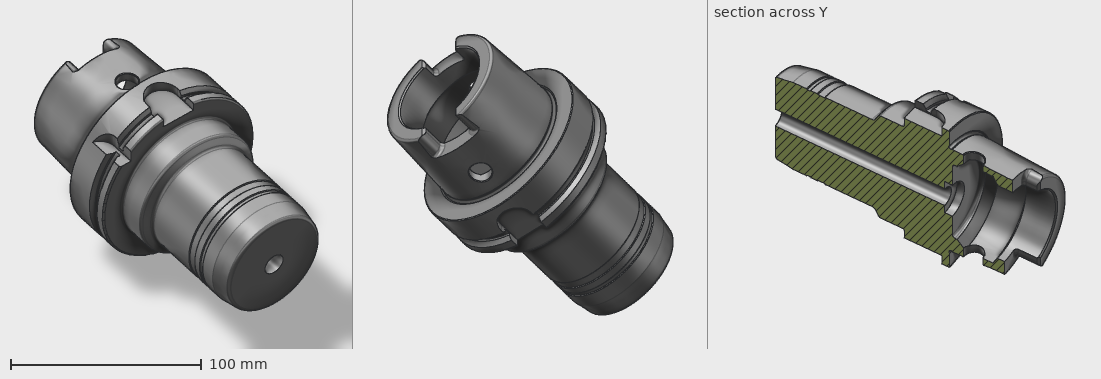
import cadquery as cq
import math

total_length = 160.0
flange_radius = 100.0 / 2

mouth_fillet = 1.5
taper_end_x = 47.8
taper_end_radius = 75.4 / 2
taper_slope = 1 / 20
neck_radius = 37.3
neck_start_x = 48.6
neck_fillet = 1.3

flange_start_x = 49.8
flange_end_x = 78.5
flange_chamfer = 0.5
relief_depth = 0.5
relief_outer_radius = 39.4
grip_radius = 46.0
grip_mouth_start_x = 66.7
grip_floor_start_x = 68.2
grip_floor_end_x = 71.5
grip_mouth_end_x = 73.3
grip_step_radius = 47.4
rim_fillet = 1.0

collar_radius = 75.0 / 2
collar_root_fillet = 1.3
collar_end_x = 94.4
barrel_radius = 32.0
shoulder_angle = 60
shoulder_fillet = 2.0
nose_start_x = 148.6
nose_angle = 10
nose_fillet = 1.8

ring_groove_depth = 0.5
ring_groove_spans = [(128.3, 133.5), (137.5, 140.2)]

bore_radius = 53.0 / 2
bore_mouth_chamfer = 0.8
clamp_start_x = 19.5
clamp_end_x = 40.0
clamp_radius = 63.0 / 2
clamp_angle = 60
clamp_exit_angle = 45
bore_depth = 48.0
bore_floor_fillet = 1.6
counterbore_diameter = 22.4
counterbore_depth = 4.8
through_diameter = 12.0

radial_hole_x = 34.9
radial_hole_diameter = 12.0
radial_hole_chamfer = 0.5

slot_half_width = 10.0
slot_flare_radius = 4.8
slot_flare_z = 32.2
slot_floor_fillet = 2.0
slot_edge_chamfer = 1.5
top_slot_depth = 10.0
bottom_slot_depth = 15.0

notch_start_x = 54.9
notch_width = 19.8
notch_floor_z = 43.8
corner_notch_offset = 31.5

clearance = 8.0

pick_margin = 0.02


def revolve_about_x(profile):
    """Spin a closed profile, drawn with radius as local Y, about the X axis."""
    return profile.close().revolve(360, (0, 0, 0), (1, 0, 0))


def round_ring(solid, x, radius, fillet):
    """Fillet the outermost circular edge of a turned solid at the given X."""
    reach = radius + pick_margin
    ring = cq.selectors.BoxSelector(
        (x - pick_margin, -reach, -reach),
        (x + pick_margin, reach, reach),
        boundingbox=True,
    )
    return solid.edges(ring).edges(cq.selectors.RadiusNthSelector(-1)).fillet(fillet)


def make_body():
    """Solid outer shape: taper, relieved neck, grooved flange, collar, barrel and nose."""
    mouth_radius = taper_end_radius - taper_slope * taper_end_x
    shoulder_length = (collar_radius - barrel_radius) / math.tan(math.radians(shoulder_angle))
    nose_drop = (total_length - nose_start_x) * math.tan(math.radians(nose_angle))
    relief_floor_x = flange_start_x + relief_depth
    profile = (
        cq.Workplane("XY")
        .moveTo(0, 0)
        .lineTo(0, mouth_radius)
        .lineTo(taper_end_x, taper_end_radius)
        .lineTo(neck_start_x, neck_radius)
        .lineTo(relief_floor_x - neck_fillet, neck_radius)
        .radiusArc((relief_floor_x, neck_radius + neck_fillet), -neck_fillet)
        .lineTo(flange_start_x, relief_outer_radius)
        .lineTo(flange_start_x, flange_radius - flange_chamfer)
        .lineTo(flange_start_x + flange_chamfer, flange_radius)
        .lineTo(grip_mouth_start_x, flange_radius)
        .lineTo(grip_floor_start_x, grip_step_radius)
        .lineTo(grip_floor_start_x, grip_radius)
        .lineTo(grip_floor_end_x, grip_radius)
        .lineTo(grip_floor_end_x, grip_step_radius)
        .lineTo(grip_mouth_end_x, flange_radius)
        .lineTo(flange_end_x - rim_fillet, flange_radius)
        .radiusArc((flange_end_x, flange_radius - rim_fillet), rim_fillet)
        .lineTo(flange_end_x, collar_radius)
        .lineTo(collar_end_x, collar_radius)
        .lineTo(collar_end_x + shoulder_length, barrel_radius)
        .lineTo(nose_start_x, barrel_radius)
        .lineTo(total_length, barrel_radius - nose_drop)
        .lineTo(total_length, 0)
    )
    body = revolve_about_x(profile)
    body = round_ring(body, 0, mouth_radius, mouth_fillet)
    body = round_ring(body, flange_end_x, collar_radius, collar_root_fillet)
    body = round_ring(body, collar_end_x, collar_radius, shoulder_fillet)
    body = round_ring(body, collar_end_x + shoulder_length, barrel_radius, shoulder_fillet)
    return round_ring(body, total_length, barrel_radius - nose_drop, nose_fillet)


def make_ring_groove(start_x, end_x):
    """Ring cutter with 45 degree flanks."""
    floor_radius = barrel_radius - ring_groove_depth
    profile = (
        cq.Workplane("XY")
        .moveTo(start_x, barrel_radius)
        .lineTo(start_x + ring_groove_depth, floor_radius)
        .lineTo(end_x - ring_groove_depth, floor_radius)
        .lineTo(end_x, barrel_radius)
    )
    return revolve_about_x(profile)


def make_bore():
    """Clamping bore with its mouth chamfer, undercut clamping groove and rounded floor."""
    clamp_height = clamp_radius - bore_radius
    shoulder_length = clamp_height / math.tan(math.radians(clamp_angle))
    exit_length = clamp_height / math.tan(math.radians(clamp_exit_angle))
    profile = (
        cq.Workplane("XY")
        .moveTo(0, 0)
        .lineTo(0, bore_radius + bore_mouth_chamfer)
        .lineTo(bore_mouth_chamfer, bore_radius)
        .lineTo(clamp_start_x, bore_radius)
        .lineTo(clamp_start_x + shoulder_length, clamp_radius)
        .lineTo(clamp_end_x, clamp_radius)
        .lineTo(clamp_end_x + exit_length, bore_radius)
        .lineTo(bore_depth, bore_radius)
        .lineTo(bore_depth, 0)
    )
    bore = revolve_about_x(profile).faces(">X").edges().fillet(bore_floor_fillet)
    counterbore = (
        cq.Workplane("YZ", origin=(bore_depth, 0, 0))
        .circle(counterbore_diameter / 2)
        .extrude(counterbore_depth)
    )
    through_hole = cq.Workplane("YZ").circle(through_diameter / 2).extrude(total_length)
    return bore.union(counterbore).union(through_hole)


def cut_radial_hole(body):
    """Drill along Z through both walls and chamfer the two rims on the taper."""
    hole_radius = radial_hole_diameter / 2
    hole = (
        cq.Workplane("XY", origin=(radial_hole_x, 0, 0))
        .circle(hole_radius)
        .extrude(flange_radius, both=True)
    )
    body = body.cut(hole)
    for low_z, high_z in [(-flange_radius, -clamp_radius), (clamp_radius, flange_radius)]:
        rim = cq.selectors.BoxSelector(
            (radial_hole_x - clearance, -clearance, low_z),
            (radial_hole_x + clearance, clearance, high_z),
            boundingbox=True,
        )
        body = body.edges(rim).chamfer(radial_hole_chamfer)
    return body


def make_drive_slot(depth):
    """Slot cutter on the +Z side: straight walls that flare outwards, rounded at the floor."""
    flare_start_z = slot_flare_z - slot_flare_radius
    flare_end_y = slot_half_width + slot_flare_radius
    outer_y = flare_end_y + clearance
    outer_z = slot_flare_z + clearance
    slot = (
        cq.Workplane("YZ", origin=(-clearance, 0, 0))
        .moveTo(-slot_half_width, 0)
        .lineTo(slot_half_width, 0)
        .lineTo(slot_half_width, flare_start_z)
        .radiusArc((flare_end_y, slot_flare_z), slot_flare_radius)
        .lineTo(outer_y, slot_flare_z)
        .lineTo(outer_y, outer_z)
        .lineTo(-outer_y, outer_z)
        .lineTo(-outer_y, slot_flare_z)
        .lineTo(-flare_end_y, slot_flare_z)
        .radiusArc((-slot_half_width, flare_start_z), slot_flare_radius)
        .close()
        .extrude(clearance + depth)
        .faces(">X")
        .edges()
        .fillet(slot_floor_fillet)
    )
    edge_bevel = (
        cq.Workplane("XY")
        .moveTo(0, -slot_half_width - slot_edge_chamfer)
        .lineTo(slot_edge_chamfer, -slot_half_width)
        .lineTo(slot_edge_chamfer, slot_half_width)
        .lineTo(0, slot_half_width + slot_edge_chamfer)
        .close()
        .extrude(outer_z)
    )
    return slot.union(edge_bevel)


def make_notch(center_y, floor_z):
    """Flange notch cutter: rounded end towards the taper, open at the back of the flange."""
    end_radius = notch_width / 2
    length = flange_end_x - notch_start_x
    return (
        cq.Workplane("XY", origin=(notch_start_x, center_y, floor_z))
        .moveTo(length, -end_radius)
        .lineTo(length, end_radius)
        .lineTo(end_radius, end_radius)
        .threePointArc((0, 0), (end_radius, -end_radius))
        .close()
        .extrude(flange_radius)
    )


result = cut_radial_hole(make_body().cut(make_bore()))
for groove_start_x, groove_end_x in ring_groove_spans:
    result = result.cut(make_ring_groove(groove_start_x, groove_end_x))

result = result.cut(make_drive_slot(top_slot_depth))
result = result.cut(make_drive_slot(bottom_slot_depth).mirror("XY"))

main_notch = make_notch(0, notch_floor_z)
result = result.cut(main_notch).cut(main_notch.mirror("XY"))
result = result.cut(make_notch(-corner_notch_offset - notch_width / 2, corner_notch_offset))